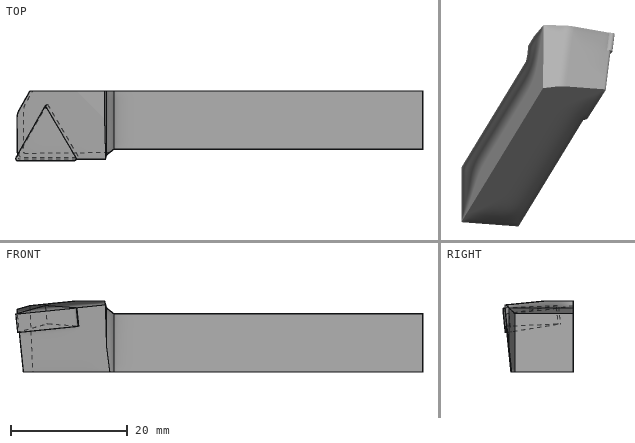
import cadquery as cq
import math

TOOL_LENGTH = 69.71
SHANK_SIZE = 10.0
HEAD_HEIGHT = 12.2
OVERHANG = 2.0

TILT = math.radians(5.85)
TIP_HEIGHT = 9.9

INSERT_SIDE = 11.0
INSERT_THICKNESS = 3.18
NOSE_RADIUS = 0.4
INSERT_PROUD = 0.28

HEAD_CORNER_RADIUS = 0.4
BEVEL_START = 8.1
BEVEL_ANGLE = math.radians(30)
BEVEL_BLEND = 3.0

FLARE_START = 16.8
FLARE_LENGTH = 1.25
FLARE_RISE = 1.0
STEEP_SETBACK = 0.28

MARGIN = 3.0

slope = math.tan(TILT)
top_frame = cq.Plane(
    origin=(0, -OVERHANG, TIP_HEIGHT),
    xDir=(1, 0, slope),
    normal=(-slope, -slope, 1),
)


def shoulder_points(rise):
    """Points (X, offset beyond the shank face) from the plain shank up to the given rise."""
    flare_top = FLARE_START - FLARE_LENGTH
    steep_top = flare_top - STEEP_SETBACK * (rise - FLARE_RISE)
    return [(FLARE_START, 0), (flare_top, FLARE_RISE), (steep_top, rise)]


def side_envelope():
    """Holder outline in the XZ plane: flat bottom, shank top, shoulder and head flat."""
    rise = HEAD_HEIGHT - SHANK_SIZE
    outline = [(TOOL_LENGTH, 0), (TOOL_LENGTH, SHANK_SIZE)]
    outline += [(x, SHANK_SIZE + offset) for x, offset in shoulder_points(rise)]
    outline += [(-MARGIN, HEAD_HEIGHT), (-MARGIN, 0)]
    back_plane = cq.Workplane("XZ", origin=(0, SHANK_SIZE, 0))
    return back_plane.polyline(outline).close().extrude(SHANK_SIZE + OVERHANG)


def plan_envelope():
    """Holder outline in the XY plane: flat back, shank front and shoulder."""
    outline = [(TOOL_LENGTH, SHANK_SIZE), (TOOL_LENGTH, 0)]
    outline += [(x, -offset) for x, offset in shoulder_points(OVERHANG)]
    outline += [(-MARGIN, -OVERHANG), (-MARGIN, SHANK_SIZE)]
    return cq.Workplane("XY").polyline(outline).close().extrude(HEAD_HEIGHT)


def edge_through(x, y):
    """Selector for the prism edge that starts at a point of the tilted top face."""
    return cq.selectors.NearestToPointSelector(top_frame.toWorldCoords((x, y, -HEAD_HEIGHT)))


def head_stock():
    """Prism square to the tilted top face, with the front wall, the end wall and the bevel."""
    wall = INSERT_PROUD
    back = OVERHANG + SHANK_SIZE + MARGIN
    length = FLARE_START + MARGIN
    bevel_run = (back - BEVEL_START) * math.tan(BEVEL_ANGLE)
    outline = [(wall, wall), (length, wall), (length, back), (wall + bevel_run, back), (wall, BEVEL_START)]
    stock = cq.Workplane(top_frame).polyline(outline).close().extrude(-2 * HEAD_HEIGHT)
    stock = stock.edges(edge_through(wall, wall)).fillet(HEAD_CORNER_RADIUS)
    return stock.edges(edge_through(wall, BEVEL_START)).fillet(BEVEL_BLEND)


def shank_stock():
    """Square bar behind the shoulder."""
    bar = cq.Workplane("XY").box(TOOL_LENGTH - FLARE_START, SHANK_SIZE, SHANK_SIZE, centered=False)
    return bar.translate((FLARE_START, 0, 0))


def sharp_triangle():
    """Triangular prism below the tilted top face, placed so that its rounded nose starts at local X = 0."""
    left = -NOSE_RADIUS * (math.sqrt(3) - 1)
    height = INSERT_SIDE * math.sin(math.radians(60))
    outline = [(left, 0), (left + INSERT_SIDE, 0), (left + INSERT_SIDE / 2, height)]
    return cq.Workplane(top_frame).polyline(outline).close().extrude(-INSERT_THICKNESS)


def make_insert():
    """Triangular cutting insert with rounded corners."""
    prism_edges = cq.selectors.ParallelDirSelector(top_frame.zDir)
    return sharp_triangle().edges(prism_edges).fillet(NOSE_RADIUS)


def make_holder():
    """Shank and head in one piece, with a sharp-cornered pocket for the insert."""
    stock = head_stock().union(shank_stock())
    body = stock.intersect(side_envelope()).intersect(plan_envelope())
    return body.cut(sharp_triangle())


holder = make_holder()
insert = make_insert()
result = cq.Compound.makeCompound([holder.val(), insert.val()])